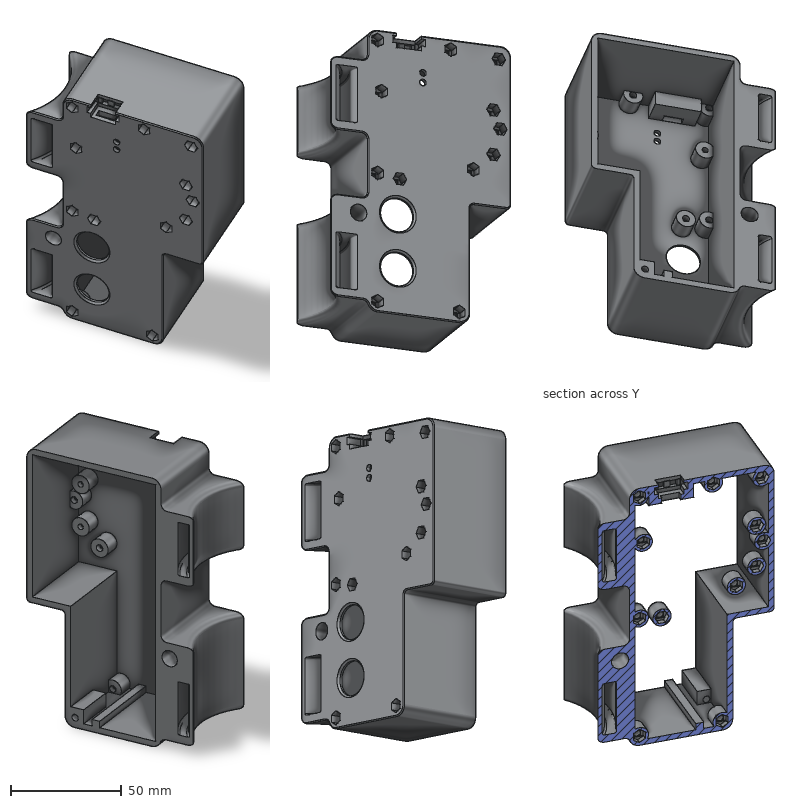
import cadquery as cq
import math

WIDTH = 88.0
DEPTH = 44.7
HEIGHT = 135.0

BODY_LEFT = 18.0
LOWER_RIGHT = 68.0
STEP_Z = 57.5
BODY_RADIUS = 5.0
STEP_RADIUS = 2.0
GRIP_RADIUS = 3.0
UPPER_GRIP = (85.0, 120.0)
LOWER_GRIP = (5.0, 54.0)
FRONT_CHAMFER = 0.5
SPARE = 1.4

TUBE_RADIUS = 33.0
TUBE_Y = 22.8
TUBE_EDGE_Y = 0.4
TUBE_X = -math.sqrt(TUBE_RADIUS**2 - (TUBE_Y - TUBE_EDGE_Y)**2)
GRIP_BACK_X = 1.4

WALL = 3.0
PLATE = 2.0

SLOT_LEFT = 2.3
SLOT_RIGHT = 13.0
SLOT_HEIGHT = 26.7
SLOT_BOTTOMS = (89.2, 9.0)
SLOT_GAP = 5.0
SLOT_FLARE = 30
SLOT_NOSE_RADIUS = 6.0
SLOT_CORNER = 1.0

BORE_DIAMETER = 16.0
BORE_CHAMFER = 1.0
BORES = [(32.7, 47.9), (32.7, 22.0)]
LIGHT_DIAMETER = 3.1
LIGHTS = [(45.0, 117.3), (45.0, 112.7)]
CORD_DIAMETER = 8.0
CORD_HOLE = (13.5, 46.3)

NUT_ACROSS_CORNERS = 6.5
NUT_DEPTH = 6.0
NUT_LAYER = 0.4
BOSS_DIAMETER = 9.0
BOSS_LENGTH = 8.1
CASE_HOLE = 3.2
BOARD_HOLE = 2.7
UPRIGHT = 90
SIDEWAYS = 0
LEFT_SCREWS_X = BODY_LEFT + 4.9
SCREWS = [
    (LEFT_SCREWS_X, 130.3, CASE_HOLE, UPRIGHT),
    (58.6, 130.3, CASE_HOLE, UPRIGHT),
    (82.1, 128.7, CASE_HOLE, SIDEWAYS),
    (24.7, 106.0, BOARD_HOLE, UPRIGHT),
    (79.5, 104.0, BOARD_HOLE, SIDEWAYS),
    (82.9, 95.3, CASE_HOLE, SIDEWAYS),
    (79.5, 82.6, BOARD_HOLE, SIDEWAYS),
    (69.7, 74.2, CASE_HOLE, UPRIGHT),
    (LEFT_SCREWS_X, 66.5, CASE_HOLE, UPRIGHT),
    (33.8, 65.1, CASE_HOLE, SIDEWAYS),
    (LEFT_SCREWS_X, 5.0, CASE_HOLE, UPRIGHT),
    (62.8, 5.0, CASE_HOLE, UPRIGHT),
]

NOTCH_X = 38.2
NOTCH_WIDTH = 12.3
NOTCH_HEIGHT = 7.2
NOTCH_DEPTH = 8.2
GROOVE_WIDTH = 15.8
GROOVE_TOP = HEIGHT - 1.5
GROOVE_HEIGHT = 3.4
POCKET_TOP = HEIGHT - 1.9
POCKET_HEIGHT = 3.4
BAND_DEPTH = 0.5
POCKET_DEPTH = 2.0
POCKETS = [(35.2, 2.8), (41.2, 3.2)]
WINDOW_WIDTH = 9.0
WINDOW_FRONT = 2.2
WINDOW_DEPTH = 3.4

RIB_LEFT = 50.0
RIB_WIDTH = 3.9
RIB_TOP = 6.2
BLOCK_LEFT = 58.3
BLOCK_FRONT = 24.3
BLOCK_TOP = 10.0


def box(x, y, z, dx, dy, dz):
    """Box from its lower corner and its sizes."""
    return cq.Workplane("XY").box(dx, dy, dz, centered=False).translate((x, y, z))


def front_plane(y):
    """Plane with local axes X and Z at depth y; negative extrusions run toward +Y."""
    return cq.Workplane(cq.Plane(origin=(0, y, 0), xDir=(1, 0, 0), normal=(0, -1, 0)))


def rod(x, z, diameter, y, length):
    return front_plane(y).center(x, z).circle(diameter / 2).extrude(-length)


def hexagon(x, z, rotation, y, length):
    outline = front_plane(y).polygon(6, NUT_ACROSS_CORNERS).extrude(-length)
    return outline.rotate((0, 0, 0), (0, 1, 0), rotation).translate((x, 0, z))


def edge_at(x, z):
    """Selector for a depthwise edge at X, Z."""
    near = 0.1
    return cq.selectors.BoxSelector((x - near, 0, z - near), (x + near, DEPTH, z + near))


def on_circle(centre, radius, angle):
    return (centre[0] + radius * math.cos(angle), centre[1] + radius * math.sin(angle))


def round_corners(solid, corners, radius):
    """Fillet the depthwise edges at the given X, Z corners."""
    for x, z in corners:
        solid = solid.edges("|Y").edges(edge_at(x, z)).fillet(radius)
    return solid


def make_body():
    low = LOWER_GRIP[0]
    body_centre = (BODY_LEFT + BODY_RADIUS, BODY_RADIUS)
    root_z = low - GRIP_RADIUS
    reach = BODY_RADIUS + GRIP_RADIUS
    root_centre = (body_centre[0] - math.sqrt(reach**2 - (body_centre[1] - root_z)**2), root_z)
    share = GRIP_RADIUS / reach
    joint = (
        root_centre[0] + share * (body_centre[0] - root_centre[0]),
        root_centre[1] + share * (body_centre[1] - root_centre[1]),
    )
    tilt = math.atan2(joint[1] - root_centre[1], joint[0] - root_centre[0])
    root_angle = (math.pi / 2 + tilt) / 2
    body_angle = (math.pi + tilt + 3 * math.pi / 2) / 2

    body = (
        front_plane(0)
        .moveTo(-SPARE, low)
        .lineTo(root_centre[0], low)
        .threePointArc(on_circle(root_centre, GRIP_RADIUS, root_angle), joint)
        .threePointArc(on_circle(body_centre, BODY_RADIUS, body_angle), (body_centre[0], 0))
        .lineTo(LOWER_RIGHT, 0)
        .lineTo(LOWER_RIGHT, STEP_Z)
        .lineTo(WIDTH, STEP_Z)
        .lineTo(WIDTH, HEIGHT)
        .lineTo(BODY_LEFT, HEIGHT)
        .lineTo(BODY_LEFT, UPPER_GRIP[1])
        .lineTo(-SPARE, UPPER_GRIP[1])
        .lineTo(-SPARE, UPPER_GRIP[0])
        .lineTo(BODY_LEFT, UPPER_GRIP[0])
        .lineTo(BODY_LEFT, LOWER_GRIP[1])
        .lineTo(-SPARE, LOWER_GRIP[1])
        .close()
        .extrude(-DEPTH)
    )

    outer = [(LOWER_RIGHT, 0), (WIDTH, HEIGHT), (BODY_LEFT, HEIGHT)]
    step = [(LOWER_RIGHT, STEP_Z), (WIDTH, STEP_Z)]
    roots = [(BODY_LEFT, z) for z in (*UPPER_GRIP, LOWER_GRIP[1])]
    body = round_corners(body, outer, BODY_RADIUS)
    body = round_corners(body, step, STEP_RADIUS)
    body = round_corners(body, roots, GRIP_RADIUS)

    back_y = TUBE_Y + math.sqrt(TUBE_RADIUS**2 - (GRIP_BACK_X - TUBE_X)**2)
    seat = cq.Workplane("XY").center(TUBE_X, TUBE_Y).circle(TUBE_RADIUS).extrude(HEIGHT)
    body = body.cut(seat)
    body = body.cut(box(-SPARE, back_y, 0, SPARE + GRIP_BACK_X, DEPTH, HEIGHT))
    seat_zone = cq.selectors.BoxSelector((0, SPARE, 0), (TUBE_X + TUBE_RADIUS, DEPTH - SPARE, HEIGHT))
    body = body.edges("%CIRCLE").edges(seat_zone).fillet(GRIP_RADIUS)
    return body.faces("<Y").edges().chamfer(FRONT_CHAMFER)


def notch_box(x, width, top, height, front, depth):
    """Box centred on X that hangs from its top and runs back from its front."""
    return box(x - width / 2, front, top - height, width, depth, height)


def make_cavity():
    """Hollow behind the front plate, less the screw bosses, floor rib, corner block and notch housing."""
    left = BODY_LEFT + WALL
    upper_floor = STEP_Z + WALL
    ceiling = HEIGHT - WALL
    upper = box(left, PLATE, upper_floor, WIDTH - WALL - left, DEPTH, ceiling - upper_floor)
    lower = box(left, PLATE, WALL, LOWER_RIGHT - WALL - left, DEPTH, ceiling - WALL)
    cavity = upper.union(lower)
    for x, z, _, _ in SCREWS:
        cavity = cavity.cut(rod(x, z, BOSS_DIAMETER, PLATE, BOSS_LENGTH))
    cavity = cavity.cut(box(RIB_LEFT, 0, 0, RIB_WIDTH, DEPTH, RIB_TOP))
    cavity = cavity.cut(box(BLOCK_LEFT, BLOCK_FRONT, 0, LOWER_RIGHT - BLOCK_LEFT, DEPTH, BLOCK_TOP))
    width = GROOVE_WIDTH + 2 * WALL
    height = NOTCH_HEIGHT + WALL
    depth = NOTCH_DEPTH + POCKET_DEPTH + WALL
    housing = notch_box(NOTCH_X, width, HEIGHT, height, 0, depth)
    return cavity.cut(housing)


def screw_cutter(x, z, diameter, rotation):
    """Nut pocket, two bridging steps that narrow it, and the screw hole."""
    nut = hexagon(x, z, rotation, 0, NUT_DEPTH)
    strip = box(-NUT_ACROSS_CORNERS, NUT_DEPTH, -diameter / 2, 2 * NUT_ACROSS_CORNERS, NUT_LAYER, diameter)
    strip = strip.translate((x, 0, z)).intersect(hexagon(x, z, rotation, NUT_DEPTH, NUT_LAYER))
    square = box(x - diameter / 2, NUT_DEPTH, z - diameter / 2, diameter, 2 * NUT_LAYER, diameter)
    return nut.union(strip).union(square).union(rod(x, z, diameter, 0, DEPTH))


def slot_cutter(bottom):
    """Channel that curves around the tube seat, with a flared mouth and a rounded nose."""
    def arc_x(radius, y):
        return TUBE_X + math.sqrt(radius**2 - (y - TUBE_Y)**2)

    front = -SPARE
    back = DEPTH + SPARE
    inner = math.hypot(SLOT_LEFT - TUBE_X, TUBE_Y)
    outer = inner + SLOT_GAP
    flare = math.radians(SLOT_FLARE)
    along = (SLOT_RIGHT - TUBE_X) * math.sin(flare) + TUBE_Y * math.cos(flare)
    beyond = (SLOT_RIGHT - TUBE_X)**2 + TUBE_Y**2 - outer**2
    run = along - math.sqrt(along**2 - beyond)
    nose = (SLOT_RIGHT - run * math.sin(flare), run * math.cos(flare))
    slot = (
        cq.Workplane("XY")
        .moveTo(arc_x(inner, front), front)
        .threePointArc((TUBE_X + inner, TUBE_Y), (arc_x(inner, back), back))
        .lineTo(arc_x(outer, back), back)
        .threePointArc((TUBE_X + outer, TUBE_Y), nose)
        .lineTo(SLOT_RIGHT - front * math.tan(flare), front)
        .close()
        .extrude(SLOT_HEIGHT)
    )
    slot = slot.edges("|Z").edges(cq.selectors.NearestToPointSelector((*nose, SLOT_HEIGHT / 2)))
    slot = slot.fillet(SLOT_NOSE_RADIUS)
    slot = slot.faces("<Z or >Z").edges().fillet(SLOT_CORNER)
    return slot.translate((0, 0, bottom))


def notch_cutter():
    """Connector notch with side grooves, a recessed band, two pockets and a window in its floor."""
    cutter = notch_box(NOTCH_X, NOTCH_WIDTH, HEIGHT, NOTCH_HEIGHT, 0, NOTCH_DEPTH)
    cutter = cutter.union(notch_box(NOTCH_X, GROOVE_WIDTH, GROOVE_TOP, GROOVE_HEIGHT, 0, NOTCH_DEPTH))
    band_depth = NOTCH_DEPTH + BAND_DEPTH
    cutter = cutter.union(notch_box(NOTCH_X, NOTCH_WIDTH, POCKET_TOP, POCKET_HEIGHT, 0, band_depth))
    for x, width in POCKETS:
        pocket_depth = NOTCH_DEPTH + POCKET_DEPTH
        cutter = cutter.union(notch_box(x, width, POCKET_TOP, POCKET_HEIGHT, 0, pocket_depth))
    window_height = NOTCH_HEIGHT + WALL + SPARE
    window = notch_box(NOTCH_X, WINDOW_WIDTH, HEIGHT, window_height, WINDOW_FRONT, WINDOW_DEPTH)
    return cutter.union(window)


def bore_cutter(x, z):
    """Hole through the front plate with a chamfered rim."""
    rim = BORE_DIAMETER / 2 + BORE_CHAMFER
    cone = front_plane(0).center(x, z).circle(rim).extrude(-BORE_CHAMFER, taper=45)
    return rod(x, z, BORE_DIAMETER, 0, PLATE).union(cone)


result = make_body()
result = result.cut(make_cavity())
for place in BORES:
    result = result.cut(bore_cutter(*place))
for x, z in LIGHTS:
    result = result.cut(rod(x, z, LIGHT_DIAMETER, 0, DEPTH))
result = result.cut(rod(*CORD_HOLE, CORD_DIAMETER, 0, DEPTH))
for screw in SCREWS:
    result = result.cut(screw_cutter(*screw))
for bottom in SLOT_BOTTOMS:
    result = result.cut(slot_cutter(bottom))
result = result.cut(notch_cutter())